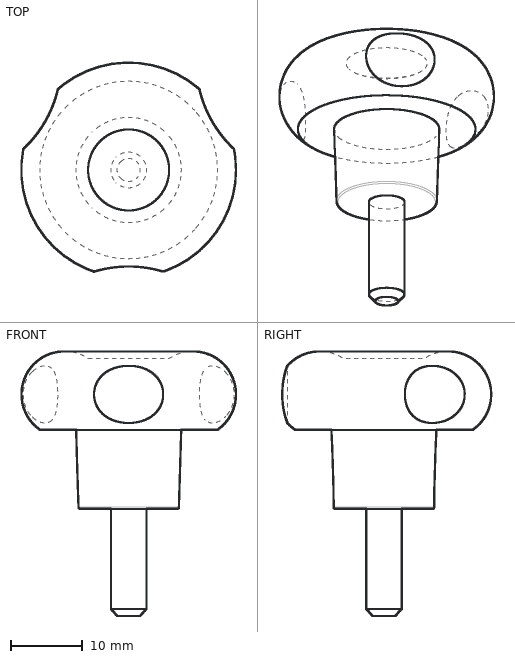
import cadquery as cq
import math

total_height = 37.0
stem_length = 15.0
hub_height = 11.03
wheel_bottom = stem_length + hub_height

wheel_radius = 15.02
rim_radius = 6.03
rim_center_radius = wheel_radius - rim_radius
rim_center_height = total_height - rim_radius
dish_depth = 1.0
dish_height = total_height - dish_depth

hub_top_radius = 7.35
hub_bottom_radius = 7.03
hub_edge_fillet = 0.22

stem_diameter = 5.0
tip_chamfer_height = 1.0
tip_chamfer_width = 0.9

grip_count = 3
first_grip_angle = -90.0
grip_radius = 16.65
grip_floor_radius = 13.5


def rim_reach(height):
    """Horizontal distance from the rim's center circle to its surface at a height."""
    return math.sqrt(rim_radius**2 - (height - rim_center_height)**2)


def make_wheel():
    dish_edge = rim_center_radius - rim_reach(dish_height)
    base_edge = rim_center_radius + rim_reach(wheel_bottom)
    profile = (
        cq.Workplane("XZ")
        .moveTo(0, wheel_bottom)
        .lineTo(base_edge, wheel_bottom)
        .threePointArc((wheel_radius, rim_center_height), (dish_edge, dish_height))
        .lineTo(0, dish_height)
        .close()
    )
    return profile.revolve(360, (0, 0, 0), (0, 1, 0))


def make_hub():
    hub = (
        cq.Workplane("XY", origin=(0, 0, stem_length))
        .circle(hub_bottom_radius)
        .workplane(offset=hub_height)
        .circle(hub_top_radius)
        .loft()
    )
    return hub.faces("<Z").edges().fillet(hub_edge_fillet)


def make_stem():
    stem = cq.Workplane("XY").circle(stem_diameter / 2).extrude(stem_length)
    return stem.faces("<Z").edges().chamfer(tip_chamfer_height, tip_chamfer_width)


def make_grip_cutters():
    return (
        cq.Workplane("XY", origin=(0, 0, wheel_bottom))
        .polarArray(grip_floor_radius + grip_radius, first_grip_angle, 360, grip_count)
        .circle(grip_radius)
        .extrude(total_height - wheel_bottom)
    )


wheel = make_wheel().cut(make_grip_cutters())
result = wheel.union(make_hub()).union(make_stem())